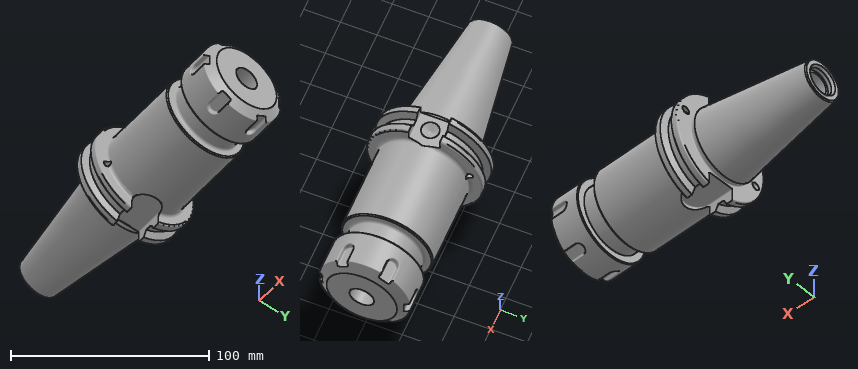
import cadquery as cq
import math


taper_length = 68.3
gauge_diameter = 44.5
taper_ratio = 7 / 24
small_end_face_diameter = 23.5
small_end_chamfer_length = 0.7
relief_diameter = 43.7
relief_slope_length = 1.5
relief_root_fillet = 0.7

flange_start = 71.3
flange_end = 87.3
flange_diameter = 63.5
flange_edge_fillet = 1.0
groove_diameter = 56.0
groove_floor_width = 3.5
groove_middle = 79.3
groove_wall_angle = 30.0
flange_root_fillet = 2.0

body_diameter = 50.0
body_end = 136.7
body_end_chamfer = 0.7
nose_diameter = 40.5
nose_root_fillet = 1.7
nose_end = 161.4

bore_diameter = 13.5
counterbore_diameter = 16.3
counterbore_depth = 4.0
mouth_diameter = 18.3
mouth_depth = 1.7

slot_width = 17.0
upper_slot_floor = body_diameter / 2
lower_slot_floor = 22.8
slot_corner_fillet = 0.7
dimple_diameter = 9.5
drill_point_angle = 118.0

coolant_azimuth = 19.5
inlet_diameter = 4.0
inlet_radius = 27.0
inlet_tilt = 35.0
inlet_depth = 2.5
outlet_diameter = 3.2
outlet_radius = 26.5
outlet_depth = 4.2

nut_start = 147.6
nut_end = 169.8
nut_diameter = body_diameter
nut_back_chamfer = 0.5
nut_nose_length = 3.5
nut_face_diameter = 38.5

notch_count = 6
notch_width = 6.6
notch_start = 155.4
notch_floor_radius = 22.3
notch_floor_fillet = 0.7
rim_fillet = 0.5


def revolve_about_x(outline):
    return outline.close().revolve(360, (0, 0, 0), (1, 0, 0))


def holder_blank():
    """Taper, grooved flange, body and nose in one turned outline."""
    taper_start_radius = (gauge_diameter - taper_ratio * (taper_length - small_end_chamfer_length)) / 2
    relief_radius = relief_diameter / 2
    flange_radius = flange_diameter / 2
    groove_radius = groove_diameter / 2
    body_radius = body_diameter / 2
    nose_radius = nose_diameter / 2
    groove_wall_run = (flange_radius - groove_radius) * math.tan(math.radians(groove_wall_angle))
    groove_floor_start = groove_middle - groove_floor_width / 2
    groove_floor_end = groove_middle + groove_floor_width / 2
    outline = (
        cq.Workplane("XY")
        .moveTo(0, 0)
        .lineTo(0, small_end_face_diameter / 2)
        .lineTo(small_end_chamfer_length, taper_start_radius)
        .lineTo(taper_length, gauge_diameter / 2)
        .lineTo(taper_length + relief_slope_length, relief_radius)
        .lineTo(flange_start - relief_root_fillet, relief_radius)
        .radiusArc((flange_start, relief_radius + relief_root_fillet), -relief_root_fillet)
        .lineTo(flange_start, flange_radius - flange_edge_fillet)
        .radiusArc((flange_start + flange_edge_fillet, flange_radius), flange_edge_fillet)
        .lineTo(groove_floor_start - groove_wall_run, flange_radius)
        .lineTo(groove_floor_start, groove_radius)
        .lineTo(groove_floor_end, groove_radius)
        .lineTo(groove_floor_end + groove_wall_run, flange_radius)
        .lineTo(flange_end - flange_edge_fillet, flange_radius)
        .radiusArc((flange_end, flange_radius - flange_edge_fillet), flange_edge_fillet)
        .lineTo(flange_end, body_radius + flange_root_fillet)
        .radiusArc((flange_end + flange_root_fillet, body_radius), -flange_root_fillet)
        .lineTo(body_end - body_end_chamfer, body_radius)
        .lineTo(body_end, body_radius - body_end_chamfer)
        .lineTo(body_end, nose_radius + nose_root_fillet)
        .radiusArc((body_end + nose_root_fillet, nose_radius), -nose_root_fillet)
        .lineTo(nose_end, nose_radius)
        .lineTo(nose_end, 0)
    )
    return revolve_about_x(outline)


def stepped_bore():
    """Through bore with a counterbore and a flared mouth at the small end."""
    outline = (
        cq.Workplane("XY")
        .moveTo(0, 0)
        .lineTo(0, mouth_diameter / 2)
        .lineTo(mouth_depth, counterbore_diameter / 2)
        .lineTo(counterbore_depth, counterbore_diameter / 2)
        .lineTo(counterbore_depth, bore_diameter / 2)
        .lineTo(nut_end, bore_diameter / 2)
        .lineTo(nut_end, 0)
    )
    return revolve_about_x(outline)


def upper_drive_slot():
    """Straight slot through the flange that ends where the root fillet meets the body."""
    length = flange_end + flange_root_fillet - flange_start
    return (
        cq.Workplane("XY", origin=(flange_start, 0, upper_slot_floor))
        .rect(2 * length, slot_width)
        .extrude(flange_diameter)
        .edges("|X and <Z")
        .fillet(slot_corner_fillet)
    )


def lower_drive_slot():
    """Deeper slot with a round end that runs out into the body."""
    half_width = slot_width / 2
    return (
        cq.Workplane("XY", origin=(0, 0, -lower_slot_floor))
        .moveTo(flange_start, -half_width)
        .lineTo(flange_end, -half_width)
        .threePointArc((flange_end + half_width, 0), (flange_end, half_width))
        .lineTo(flange_start, half_width)
        .close()
        .extrude(-flange_diameter)
        .faces(">Z")
        .edges("not <X")
        .fillet(slot_corner_fillet)
    )


def drill_point(radius, centre, direction):
    length = radius / math.tan(math.radians(drill_point_angle / 2))
    return cq.Solid.makeCone(radius, 0, length, centre, direction)


def slot_dimple():
    """Drill-point dimple in the floor of the upper slot, centred on the flange groove."""
    radius = dimple_diameter / 2
    centre = cq.Vector(groove_middle, 0, upper_slot_floor)
    return cq.Workplane(drill_point(radius, centre, cq.Vector(0, 0, -1)))


def outward_direction(azimuth):
    angle = math.radians(azimuth)
    return cq.Vector(0, math.cos(angle), math.sin(angle))


def coolant_inlet(azimuth):
    """Tilted blind hole with a drill point, in the front face of the flange."""
    outward = outward_direction(azimuth)
    tilt = math.radians(inlet_tilt)
    direction = cq.Vector(math.cos(tilt), 0, 0) - outward * math.sin(tilt)
    mouth = cq.Vector(flange_start, 0, 0) + outward * inlet_radius
    radius = inlet_diameter / 2
    overrun = radius
    barrel = cq.Solid.makeCylinder(radius, inlet_depth + overrun, mouth - direction * overrun, direction)
    point = drill_point(radius, mouth + direction * inlet_depth, direction)
    return cq.Workplane(barrel.fuse(point))


def coolant_outlet(azimuth):
    """Blind hole along X that opens in the root fillet behind the flange."""
    mouth = cq.Vector(flange_end + flange_root_fillet, 0, 0) + outward_direction(azimuth) * outlet_radius
    length = outlet_depth + flange_root_fillet
    return cq.Workplane(cq.Solid.makeCylinder(outlet_diameter / 2, length, mouth, cq.Vector(-1, 0, 0)))


def make_holder():
    holder = holder_blank().cut(stepped_bore())
    holder = holder.cut(upper_drive_slot()).cut(lower_drive_slot()).cut(slot_dimple())
    for azimuth in (coolant_azimuth, coolant_azimuth + 180):
        holder = holder.cut(coolant_inlet(azimuth)).cut(coolant_outlet(azimuth))
    return holder


def nut_blank():
    """Nut ring with a recess for the nose of the holder and the bore through its front."""
    nut_radius = nut_diameter / 2
    outline = (
        cq.Workplane("XY")
        .moveTo(nut_start, nose_diameter / 2)
        .lineTo(nut_start, nut_radius - nut_back_chamfer)
        .lineTo(nut_start + nut_back_chamfer, nut_radius)
        .lineTo(nut_end - nut_nose_length, nut_radius)
        .lineTo(nut_end, nut_face_diameter / 2)
        .lineTo(nut_end, bore_diameter / 2)
        .lineTo(nose_end, bore_diameter / 2)
        .lineTo(nose_end, nose_diameter / 2)
    )
    return revolve_about_x(outline)


def wrench_notch(azimuth):
    """Round-ended notch, open at the front of the nut, with a filleted floor."""
    half_width = notch_width / 2
    notch = (
        cq.Workplane("XY", origin=(0, 0, notch_floor_radius))
        .moveTo(nut_end, -half_width)
        .lineTo(notch_start + half_width, -half_width)
        .threePointArc((notch_start, 0), (notch_start + half_width, half_width))
        .lineTo(nut_end, half_width)
        .close()
        .extrude(nut_diameter / 2)
        .faces("<Z")
        .edges("not >X")
        .fillet(notch_floor_fillet)
    )
    return notch.rotate((0, 0, 0), (1, 0, 0), azimuth)


def round_outer_wall_rim(nut):
    """Round every edge of the outer wall except the one at its back."""
    outer_wall = max(nut.faces("%CYLINDER").vals(), key=lambda face: face.Area())
    rim = [edge for edge in outer_wall.Edges() if edge.Center().x > notch_start]
    return nut.newObject(rim).fillet(rim_fillet)


def make_nut():
    nut = nut_blank()
    pitch_angle = 360 / notch_count
    for index in range(notch_count):
        nut = nut.cut(wrench_notch(index * pitch_angle + pitch_angle / 2))
    return round_outer_wall_rim(nut)


holder = make_holder()
nut = make_nut()
result = cq.Compound.makeCompound([holder.val(), nut.val()])